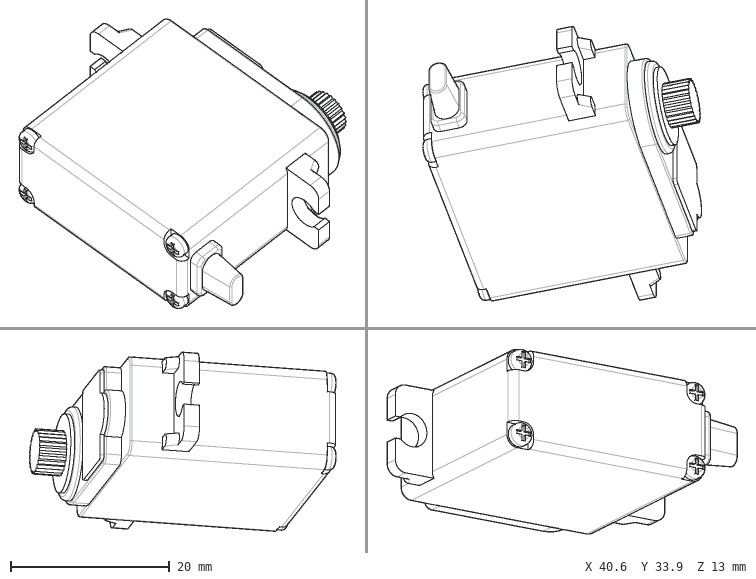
import cadquery as cq
import math

OVERLAP = 0.3

CASE_LENGTH = 29.04
CASE_THICKNESS = 13.0
CASE_BOTTOM = 0.06
CASE_TOP = 26.9
CASE_CORNER_RADIUS = 1.5
CASE_BOTTOM_FILLET = 1.0
TOP_EDGE_FILLET = 0.22

SCREW_X = 12.85
SCREW_Z = 4.87
SCREW_RADIUS = 1.48
SCREW_SEAT_Y = 1.35
SCREW_DOME_FILLET = 0.68
CROSS_ARM_LENGTH = 2.06
CROSS_ARM_WIDTH = 0.5
CROSS_DEPTH = 0.4

EAR_SPAN = 40.0
EAR_WIDTH = 11.66
EAR_BOTTOM = 19.25
EAR_TOP = 21.25
EAR_CORNER_RADIUS = 1.5
EAR_HOLE_X = 17.53
EAR_HOLE_RADIUS = 2.2
EAR_SLOT_WIDTH = 2.9
RIB_TOP = 22.75
RIB_WIDTH = 1.55
RIB_TOE_X = 17.5
RIB_SHOULDER_X = 16.65

OUTPUT_X = 7.87
COVER_TOP = 29.05
COVER_RADIUS = 6.42
COVER_FLAT_X = -9.67
COVER_CORNER_RADIUS = 1.0
BULGE_X = -8.62
BULGE_RADIUS = 3.26
PLATE_TOP = 29.55
PLATE_INSET = 0.45
PLATE_END_X = 0.35

FLANGE_RADIUS = 5.95
FLANGE_TOP = 29.95
FLANGE_FILLET = 0.5
COLLAR_RADIUS = 5.02
COLLAR_TOP = 30.45
SPLINE_TOP = 33.94
SPLINE_TEETH = 25
SPLINE_TIP_RADIUS = 2.88
SPLINE_ROOT_RADIUS = 2.6

CABLE_Y = 3.8
GROMMET_HEIGHT = 4.4
GROMMET_WIDTH = 7.08
GROMMET_CORNER_RADIUS = 1.0
GROMMET_END_X = 16.05
GROMMET_EDGE_FILLET = 0.4
BOOT_END_X = 20.56
BOOT_BASE_RADIUS = 1.6
BOOT_TIP_RADIUS = 1.15
BOOT_FLAT_WIDTH = 2.9
BOOT_TIP_FILLET = 0.2


def plane_at(y):
    """Workplane across the Y axis; local x is X and local y is Z."""
    return cq.Workplane("XZ", origin=(0, y, 0))


def prism(outline, y_start, y_end):
    """Extrude an outline drawn on plane_at(y_start) up to y_end."""
    return outline.extrude(y_start - y_end)


def disc(x, z, radius, y_start, y_end):
    return prism(plane_at(y_start).center(x, z).circle(radius), y_start, y_end)


def block(length, width, y_start, y_end):
    return prism(plane_at(y_start).rect(length, width), y_start, y_end)


def make_case():
    case = block(CASE_LENGTH, CASE_THICKNESS, CASE_BOTTOM, CASE_TOP)
    case = case.edges("|Y").fillet(CASE_CORNER_RADIUS)
    case = case.faces("<Y").edges().fillet(CASE_BOTTOM_FILLET)
    return case.faces(">Y").edges().fillet(TOP_EDGE_FILLET)


def screw_seat(side_x, side_z):
    """Corner pocket that wraps the screw head on its inner side."""
    reach = 3 * SCREW_RADIUS
    outline = plane_at(0).center(side_x * SCREW_X, side_z * SCREW_Z)
    outline = outline.center(side_x * (reach / 2 - SCREW_RADIUS), side_z * (reach / 2 - SCREW_RADIUS))
    pocket = prism(outline.rect(reach, reach), 0, SCREW_SEAT_Y)
    inner_x = "<X" if side_x > 0 else ">X"
    inner_z = "<Z" if side_z > 0 else ">Z"
    return pocket.faces(inner_x).edges(inner_z).fillet(SCREW_RADIUS)


def screw(side_x, side_z):
    x = side_x * SCREW_X
    z = side_z * SCREW_Z
    head = disc(x, z, SCREW_RADIUS, 0, SCREW_SEAT_Y + OVERLAP)
    head = head.faces("<Y").edges().fillet(SCREW_DOME_FILLET)
    for length, width in ((CROSS_ARM_LENGTH, CROSS_ARM_WIDTH), (CROSS_ARM_WIDTH, CROSS_ARM_LENGTH)):
        head = head.cut(block(length, width, 0, CROSS_DEPTH).translate((x, 0, z)))
    return head


def rib_section(workplane, tip_x):
    """Section of a rib parallel to the ear: straight sides and a round end at tip_x."""
    root_x = CASE_LENGTH / 2 - OVERLAP
    half_width = RIB_WIDTH / 2
    return (
        workplane.moveTo(root_x, -half_width)
        .lineTo(tip_x - half_width, -half_width)
        .threePointArc((tip_x, 0), (tip_x - half_width, half_width))
        .lineTo(root_x, half_width)
        .close()
    )


def make_rib(side_z):
    """Stiffening rib on the +X ear; its round end leans back towards the case."""
    foot = rib_section(plane_at(EAR_TOP), RIB_TOE_X)
    rib = rib_section(foot.workplane(offset=EAR_TOP - RIB_TOP), RIB_SHOULDER_X).loft(ruled=True)
    return rib.translate((0, 0, side_z * (EAR_WIDTH - RIB_WIDTH) / 2))


def make_ears():
    ears = block(EAR_SPAN, EAR_WIDTH, EAR_BOTTOM, EAR_TOP)
    ears = ears.edges("|Y").fillet(EAR_CORNER_RADIUS)
    slot_length = EAR_SPAN / 2 - EAR_HOLE_X
    for side in (-1, 1):
        ears = ears.cut(disc(side * EAR_HOLE_X, 0, EAR_HOLE_RADIUS, EAR_BOTTOM, EAR_TOP))
        slot = block(slot_length, EAR_SLOT_WIDTH, EAR_BOTTOM, EAR_TOP)
        ears = ears.cut(slot.translate((side * (EAR_HOLE_X + slot_length / 2), 0, 0)))
        rib = make_rib(side)
        ears = ears.union(rib).union(rib.mirror("YZ"))
    return ears


def far_end_shape(inset, end_x, y_start, y_end):
    """Straight-sided slab from the far end of the cover to end_x, with the round bulge."""
    start_x = COVER_FLAT_X + inset
    width = 2 * (COVER_RADIUS - inset)
    slab = block(end_x - start_x, width, y_start, y_end).translate(((start_x + end_x) / 2, 0, 0))
    slab = slab.edges("|Y and <X").fillet(COVER_CORNER_RADIUS - inset)
    return slab, disc(BULGE_X, 0, BULGE_RADIUS - inset, y_start, y_end)


def make_cover():
    sunk_y = CASE_TOP - OVERLAP
    slab, bulge = far_end_shape(0, OUTPUT_X, sunk_y, COVER_TOP)
    cover = slab.union(bulge).union(disc(OUTPUT_X, 0, COVER_RADIUS, sunk_y, COVER_TOP))
    cover = cover.faces(">Y").edges().fillet(TOP_EDGE_FILLET)

    plate, bulge = far_end_shape(PLATE_INSET, PLATE_END_X, COVER_TOP - OVERLAP, PLATE_TOP)
    plate = plate.edges("|Y and >X").fillet(COVER_CORNER_RADIUS - PLATE_INSET)
    return cover.union(plate).union(bulge)


def make_spline():
    """Output shaft with V-shaped teeth."""
    half_pitch = math.pi / SPLINE_TEETH
    points = []
    for i in range(2 * SPLINE_TEETH):
        radius = SPLINE_TIP_RADIUS if i % 2 == 0 else SPLINE_ROOT_RADIUS
        angle = i * half_pitch
        points.append((OUTPUT_X + radius * math.cos(angle), radius * math.sin(angle)))
    sunk_y = COLLAR_TOP - OVERLAP
    return prism(plane_at(sunk_y).polyline(points).close(), sunk_y, SPLINE_TOP)


def make_output():
    flange = disc(OUTPUT_X, 0, FLANGE_RADIUS, COVER_TOP - OVERLAP, FLANGE_TOP)
    flange = flange.faces(">Y").edges().fillet(FLANGE_FILLET)
    collar = disc(OUTPUT_X, 0, COLLAR_RADIUS, FLANGE_TOP - OVERLAP, COLLAR_TOP)
    return flange.union(collar).union(make_spline())


def make_cable_exit():
    root_x = CASE_LENGTH / 2 - OVERLAP
    grommet = (
        cq.Workplane("YZ", origin=(root_x, CABLE_Y, 0))
        .rect(GROMMET_HEIGHT, GROMMET_WIDTH)
        .extrude(GROMMET_END_X - root_x)
        .edges("|X")
        .fillet(GROMMET_CORNER_RADIUS)
        .faces(">X")
        .edges()
        .fillet(GROMMET_EDGE_FILLET)
    )
    boot_length = BOOT_END_X - GROMMET_END_X
    boot = (
        cq.Workplane("YZ", origin=(GROMMET_END_X, CABLE_Y, 0))
        .slot2D(BOOT_FLAT_WIDTH + 2 * BOOT_BASE_RADIUS, 2 * BOOT_BASE_RADIUS, 90)
        .workplane(offset=boot_length)
        .slot2D(BOOT_FLAT_WIDTH + 2 * BOOT_TIP_RADIUS, 2 * BOOT_TIP_RADIUS, 90)
        .loft(ruled=True)
        .faces(">X")
        .edges()
        .fillet(BOOT_TIP_FILLET)
    )
    return grommet.union(boot)


case = make_case()
corners = [(side_x, side_z) for side_x in (-1, 1) for side_z in (-1, 1)]
for corner in corners:
    case = case.cut(screw_seat(*corner))
for corner in corners:
    case = case.union(screw(*corner))

result = case.union(make_ears()).union(make_cover()).union(make_output()).union(make_cable_exit())